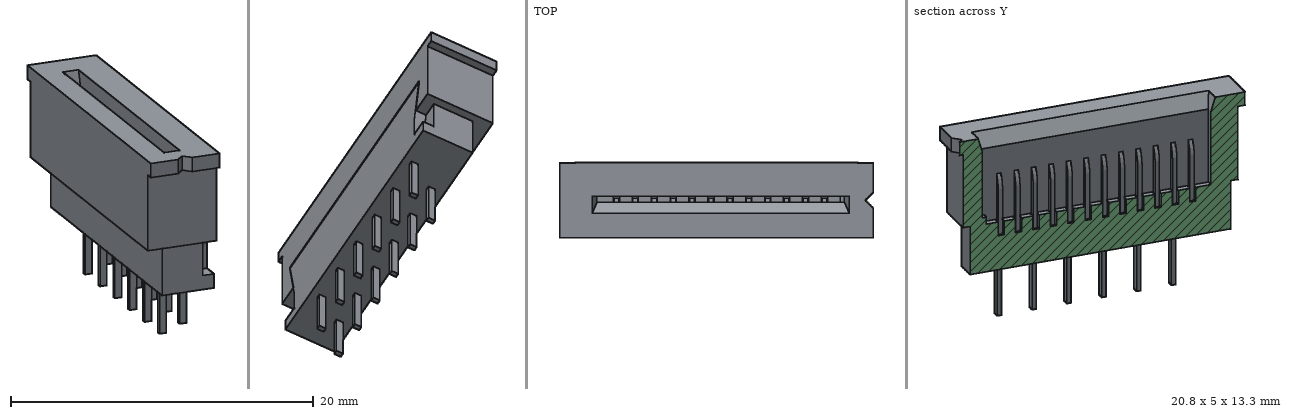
import cadquery as cq


length = 20.75
height = 13.3
housing_depth = 4.95
flange_overhang = 0.5
flange_thickness = 1.0
housing_height = 6.3
housing_bottom = height - housing_height

overall_depth = 5.0
base_left = 1.02
base_width = length - 2 * base_left
base_depth = 3.75
pin_length = 3.49
base_bottom = pin_length

recess_depth = 0.8
foot_height = 1.0
foot_top = base_bottom + foot_height
tab_rise = 2.7
tab_top = housing_bottom + tab_rise
tab_taper_reach = 0.87
tab_taper_end = housing_bottom - tab_taper_reach
tab_left = 1.6
tab_right = length - tab_left
tab_taper = 0.62

slot_left = 2.15
slot_width = 17.0
slot_setback = 2.2
slot_back = housing_depth - slot_setback
slot_mouth = 1.12
slot_throat = 0.42
lead_in_depth = 1.0
lead_in_end = 0.31
slot_floor = housing_bottom
floor_ledge_height = 0.5
floor_ledge_left = 18.57

notch_depth = 0.52
notch_half_width = 0.52

pin_count = 12
first_pin = 3.75
pin_row_span = 13.75
pin_pitch = pin_row_span / (pin_count - 1)
pin_width = 0.31
pin_thickness = 0.5
rear_row_setback = 0.8
row_spacing = 2.0
rear_row = overall_depth - rear_row_setback
front_row = rear_row - row_spacing
contact_top_depth = 2.99
contact_top = height - contact_top_depth
contact_heel = 0.12
contact_slope_drop = 1.0
contact_bulge = 0.05
groove_width = 0.42
groove_depth = 1.0


def block(x_range, y_range, z_range):
    """Axis-aligned box between the given limits."""
    sizes = [high - low for low, high in (x_range, y_range, z_range)]
    corner = (x_range[0], y_range[0], z_range[0])
    return cq.Workplane("XY").box(*sizes, centered=False).translate(corner)


def make_housing():
    flange = block((0, length), (0, housing_depth), (height - flange_thickness, height))
    walls = block(
        (flange_overhang, length - flange_overhang),
        (0, housing_depth),
        (housing_bottom, height),
    )
    return flange.union(walls)


def make_base():
    base_right = base_left + base_width
    recess_front = overall_depth - recess_depth
    core = block(
        (base_left, base_right),
        (overall_depth - base_depth, recess_front),
        (base_bottom, housing_bottom),
    )
    foot = block((base_left, base_right), (recess_front, overall_depth), (base_bottom, foot_top))
    return core.union(foot)


def make_tab():
    outline = [
        (tab_left, tab_top),
        (tab_right, tab_top),
        (tab_right - tab_taper, tab_taper_end),
        (tab_right - tab_taper, foot_top),
        (tab_left + tab_taper, foot_top),
        (tab_left + tab_taper, tab_taper_end),
    ]
    rear_plane = cq.Workplane("XZ", origin=(0, overall_depth, 0))
    return rear_plane.polyline(outline).close().extrude(recess_depth)


def make_slot():
    slot_right = slot_left + slot_width
    throat_left = slot_left + lead_in_end
    throat_right = slot_right - lead_in_end
    throat_width = throat_right - throat_left
    throat_top = height - lead_in_depth
    slot_middle = slot_left + slot_width / 2
    lead_in = (
        cq.Workplane("XY", origin=(slot_middle, slot_back, height))
        .center(0, -slot_mouth / 2)
        .rect(slot_width, slot_mouth)
        .workplane(offset=-lead_in_depth)
        .center(0, (slot_mouth - slot_throat) / 2)
        .rect(throat_width, slot_throat)
        .loft(ruled=True)
    )
    throat_y = (slot_back - slot_throat, slot_back)
    throat = block((throat_left, throat_right), throat_y, (slot_floor, throat_top))
    ledge = block(
        (floor_ledge_left, throat_right),
        throat_y,
        (slot_floor, slot_floor + floor_ledge_height),
    )
    return lead_in.union(throat.cut(ledge))


def make_notch():
    middle = housing_depth / 2
    return (
        cq.Workplane("XY", origin=(0, 0, height - flange_thickness))
        .moveTo(length, middle - notch_half_width)
        .lineTo(length - notch_depth, middle)
        .lineTo(length, middle + notch_half_width)
        .close()
        .extrude(flange_thickness)
    )


def make_groove(x):
    """Clearance groove in the slot floor around one contact."""
    return block(
        (x - groove_width / 2, x + groove_width / 2),
        (slot_back - slot_throat, slot_back),
        (slot_floor - groove_depth, slot_floor),
    )


def make_contact(x):
    """Contact on the front wall of the slot, its top curving down to the rear."""
    front = slot_back - slot_throat
    heel = slot_back - contact_heel
    heel_top = contact_top - contact_slope_drop
    crown = ((front + heel) / 2 + contact_bulge, (contact_top + heel_top) / 2 + contact_bulge)
    contact_bottom = slot_floor - groove_depth
    side_plane = cq.Workplane("YZ", origin=(x - pin_width / 2, 0, 0))
    return (
        side_plane.moveTo(front, contact_bottom)
        .lineTo(front, contact_top)
        .threePointArc(crown, (heel, heel_top))
        .lineTo(heel, contact_bottom)
        .close()
        .extrude(pin_width)
    )


def make_pin(x, y):
    return block(
        (x - pin_width / 2, x + pin_width / 2),
        (y - pin_thickness / 2, y + pin_thickness / 2),
        (0, base_bottom),
    )


result = make_housing().union(make_base()).union(make_tab())
result = result.cut(make_slot()).cut(make_notch())

for index in range(pin_count):
    pin_x = first_pin + index * pin_pitch
    row_y = rear_row if index % 2 == 0 else front_row
    result = result.cut(make_groove(pin_x)).union(make_contact(pin_x)).union(make_pin(pin_x, row_y))